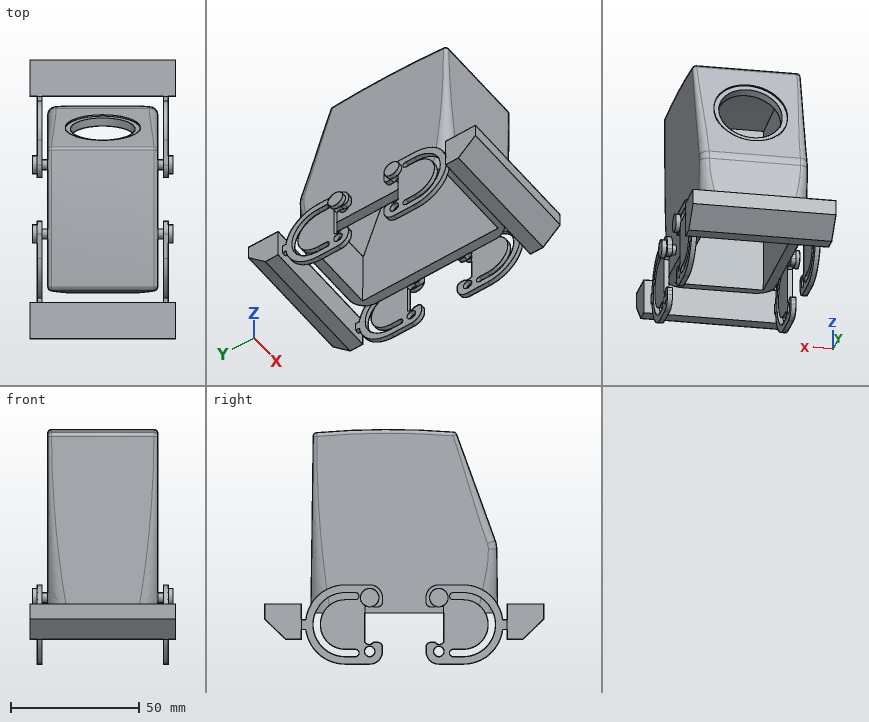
import cadquery as cq
import math

kernel = cq.occ_impl.shapes

hood_width = 43.0
hood_length = 73.0
hood_height = 71.71
end_draft = 0.75
crown_radius = 320.0
crown_apex_y = -6.2
roof_corner_passes = 20
slope_angle = 20.0
slope_start_z = 26.7
slope_bend_radius = 10.0
roof_fillet = 1.5
corner_radius_bend = 3.3
corner_radius_base = 7.7
law_steps = 8
hood_wall = 4.0

entry_z = 49.0
entry_bore = 25.2
entry_recess = 29.3
entry_recess_depth = 0.6

lever_mid_z = -4.5
lever_thickness = 2.0
lever_outer_x = 25.65
lever_outer_radius = 15.5
lever_arc_y = 23.1
lever_back_y = 15.4
slot_outer_radius = 12.5
slot_inner_radius = 9.7
slot_end_y = 19.1
pivot_y = 13.5
pivot_offset = 10.5
hook_radius = 5.0
hook_lip = 3.6
lip_radius = 1.9
lip_end_y = 12.0
notch_depth = 0.85
latch_hole = 4.0
tail_width = 3.9

pin_diameter = 4.0
pin_head_diameter = 7.2
pin_head_outer_x = 27.5

grip_width = 57.0
grip_outer_y = 54.5
grip_depth = 14.3
grip_top_z = 3.6
grip_height = 13.9
grip_side_z = -2.4
grip_bottom_depth = 6.1

draft_slope = math.tan(math.radians(end_draft))
lean_slope = math.tan(math.radians(slope_angle))
bend_y = hood_length / 2 - slope_start_z * draft_slope


def end_wall_y(z):
    """Half length of the drafted end walls at height z."""
    return hood_length / 2 - z * draft_slope


def slope_y(z):
    """Y of the sloped wall at height z."""
    return bend_y - (z - slope_start_z) * lean_slope


def roof_z(y):
    """Height of the arched roof at y."""
    drop = crown_radius - math.sqrt(crown_radius**2 - (y - crown_apex_y) ** 2)
    return hood_height - drop


def roof_corner(wall_y):
    """Point where a wall, given as a function of height, meets the roof, by repeated substitution."""
    z = hood_height
    for _ in range(roof_corner_passes):
        z = roof_z(wall_y(z))
    return wall_y(z), z


def hood_profile(base_z):
    """Closed side outline of the hood with its base at the given height."""
    base_y = end_wall_y(base_z)
    front_corner = roof_corner(lambda z: -end_wall_y(z))
    rear_corner = roof_corner(slope_y)
    return (
        cq.Workplane("YZ")
        .moveTo(-base_y, base_z)
        .lineTo(*front_corner)
        .threePointArc((crown_apex_y, hood_height), rear_corner)
        .lineTo(bend_y, slope_start_z)
        .lineTo(base_y, base_z)
        .close()
    )


def front_corner_law(edge):
    """Pairs of edge fraction and radius: a parabola from the roof fillet down to the base."""
    bottom_fraction = 0 if edge.startPoint().z < edge.endPoint().z else 1
    law = []
    for step in range(law_steps + 1):
        fraction = step / law_steps
        below_roof = abs(fraction - (1 - bottom_fraction))
        law.append((fraction, roof_fillet + (corner_radius_base - roof_fillet) * below_roof**2))
    return kernel._pts_to_harray2D(law)


def rear_corner_radius(z):
    """Rear corner radius at a joint of the edge chain at height z."""
    if z < slope_start_z / 2:
        return corner_radius_base
    if z < (slope_start_z + hood_height) / 2:
        return corner_radius_bend
    return roof_fillet


def round_hood(solid):
    """Round the roof edges evenly and the upright corners with a radius growing downwards."""
    rounder = kernel.BRepFilletAPI_MakeFillet(solid.wrapped)
    edges = solid.Edges()
    for edge in edges:
        if edge.BoundingBox().zmin > hood_height / 2:
            rounder.Add(roof_fillet, edge.wrapped)
    for edge in edges:
        reaches_base = edge.BoundingBox().zmin < roof_fillet
        if not reaches_base or edge.Center().z < roof_fillet:
            continue
        rounder.Add(edge.wrapped)
        contour = rounder.Contour(edge.wrapped)
        if edge.Center().y < 0:
            rounder.SetRadius(front_corner_law(edge), contour, 1)
            continue
        chain = [link for link in edges if rounder.Contour(link.wrapped) == contour]
        for vertex in {joint for link in chain for joint in link.Vertices()}:
            rounder.SetRadius(rear_corner_radius(vertex.Z), contour, vertex.wrapped)
    return cq.Workplane(cq.Shape.cast(rounder.Shape()).Solids()[0])


def hood_cavity():
    """Straight-sided cavity, open at the bottom, leaving one wall thickness on each flat side."""
    inner_profile = hood_profile(-2 * hood_wall).offset2D(-hood_wall)
    return inner_profile.extrude(hood_width / 2 - hood_wall, both=True)


def cable_entry():
    """Round bore square to the sloped wall, with a shallow flat recess around it."""
    lean = math.radians(slope_angle)
    inward = cq.Vector(0, -math.cos(lean), -math.sin(lean))
    face = cq.Plane(origin=(0, slope_y(entry_z), entry_z), xDir=(1, 0, 0), normal=inward)
    bore = cq.Workplane(face).circle(entry_bore / 2).extrude(2 * hood_wall)
    recess = cq.Workplane(face).circle(entry_recess / 2).extrude(entry_recess_depth)
    return bore.union(recess)


def hood():
    """Hollow rounded hood with its cable entry."""
    block = hood_profile(0).extrude(hood_width / 2, both=True)
    bend_edge = cq.selectors.NearestToPointSelector((0, bend_y, slope_start_z))
    block = block.edges(bend_edge).fillet(slope_bend_radius)
    rounded = round_hood(block.val().Solids()[0])
    return rounded.cut(hood_cavity()).cut(cable_entry())


def in_lever_plane(x):
    """Sketch plane across X whose origin sits at mid lever height."""
    return cq.Workplane("YZ", origin=(x, 0, lever_mid_z))


def lever_outline(plane):
    """C-shaped plate: round outside, straight back edge, a hook at each end."""
    diagonal_share = math.cos(math.radians(45))
    hook_end_y = pivot_y - hook_radius
    lip_z = pivot_offset - hook_lip
    diagonal = hook_radius * diagonal_share
    lip_diagonal = lip_radius * (1 - diagonal_share)
    notch_mid_y = (lever_back_y + lip_end_y) / 2

    def hook(side):
        """Outline points of the hook above (+1) or below (-1) the lever middle."""
        return {
            "notch_start": (lever_back_y, side * lip_z),
            "notch_mid": (notch_mid_y, side * (lip_z + notch_depth)),
            "lip_start": (lip_end_y, side * lip_z),
            "lip_end": (hook_end_y + lip_radius, side * lip_z),
            "lip_mid": (hook_end_y + lip_diagonal, side * (lip_z + lip_diagonal)),
            "side_start": (hook_end_y, side * (lip_z + lip_radius)),
            "side_end": (hook_end_y, side * pivot_offset),
            "corner_mid": (pivot_y - diagonal, side * (pivot_offset + diagonal)),
            "top": (pivot_y, side * lever_outer_radius),
        }

    upper = hook(1)
    lower = hook(-1)
    return (
        plane.moveTo(*upper["notch_start"])
        .threePointArc(upper["notch_mid"], upper["lip_start"])
        .lineTo(*upper["lip_end"])
        .threePointArc(upper["lip_mid"], upper["side_start"])
        .lineTo(*upper["side_end"])
        .threePointArc(upper["corner_mid"], upper["top"])
        .lineTo(lever_arc_y, lever_outer_radius)
        .threePointArc((lever_arc_y + lever_outer_radius, 0), (lever_arc_y, -lever_outer_radius))
        .lineTo(*lower["top"])
        .threePointArc(lower["corner_mid"], lower["side_end"])
        .lineTo(*lower["side_start"])
        .threePointArc(lower["lip_mid"], lower["lip_end"])
        .lineTo(*lower["lip_start"])
        .threePointArc(lower["notch_mid"], lower["notch_start"])
        .close()
    )


def lever_slot(plane):
    """U-shaped slot of even width with rounded ends."""
    end_radius = (slot_outer_radius - slot_inner_radius) / 2
    mid_radius = (slot_outer_radius + slot_inner_radius) / 2
    end_tip_y = slot_end_y - end_radius
    return (
        plane.moveTo(slot_end_y, slot_outer_radius)
        .lineTo(lever_arc_y, slot_outer_radius)
        .threePointArc((lever_arc_y + slot_outer_radius, 0), (lever_arc_y, -slot_outer_radius))
        .lineTo(slot_end_y, -slot_outer_radius)
        .threePointArc((end_tip_y, -mid_radius), (slot_end_y, -slot_inner_radius))
        .lineTo(lever_arc_y, -slot_inner_radius)
        .threePointArc((lever_arc_y + slot_inner_radius, 0), (lever_arc_y, slot_inner_radius))
        .lineTo(slot_end_y, slot_inner_radius)
        .threePointArc((end_tip_y, mid_radius), (slot_end_y, slot_outer_radius))
        .close()
    )


def lever_plate():
    """Lever plate on the +X, +Y side, with the tail that carries the grip bar."""
    plane = in_lever_plane(lever_outer_x - lever_thickness)
    plate = lever_outline(plane).extrude(lever_thickness)
    tail_start_y = lever_arc_y + (slot_outer_radius + lever_outer_radius) / 2
    tail_end_y = grip_outer_y - grip_depth / 2
    tail = (
        plane.center((tail_start_y + tail_end_y) / 2, 0)
        .rect(tail_end_y - tail_start_y, tail_width)
        .extrude(lever_thickness)
    )
    slot = lever_slot(plane).extrude(lever_thickness)
    hole = plane.center(pivot_y, -pivot_offset).circle(latch_hole / 2).extrude(lever_thickness)
    return plate.union(tail).cut(slot).cut(hole)


def pivot_pin():
    """Headed pin joining the +X, +Y lever plate to the hood wall."""
    pin_start_x = hood_width / 2 - hood_wall / 2
    shank = (
        in_lever_plane(pin_start_x)
        .center(pivot_y, pivot_offset)
        .circle(pin_diameter / 2)
        .extrude(lever_outer_x - pin_start_x)
    )
    head = (
        in_lever_plane(lever_outer_x)
        .center(pivot_y, pivot_offset)
        .circle(pin_head_diameter / 2)
        .extrude(pin_head_outer_x - lever_outer_x)
    )
    return shank.union(head)


def grip_bar():
    """Bar across both lever plates, its outer lower corner cut off at an angle."""
    grip_inner_y = grip_outer_y - grip_depth
    grip_bottom_z = grip_top_z - grip_height
    return (
        cq.Workplane("YZ")
        .moveTo(grip_inner_y, grip_top_z)
        .lineTo(grip_outer_y, grip_top_z)
        .lineTo(grip_outer_y, grip_side_z)
        .lineTo(grip_inner_y + grip_bottom_depth, grip_bottom_z)
        .lineTo(grip_inner_y, grip_bottom_z)
        .close()
        .extrude(grip_width / 2, both=True)
    )


def lever():
    """Complete lever on the +Y side."""
    side = lever_plate().union(pivot_pin())
    return side.union(side.mirror("YZ")).union(grip_bar())


rear_lever = lever()
front_lever = rear_lever.mirror("XZ")
result = hood().union(rear_lever).union(front_lever).solids()